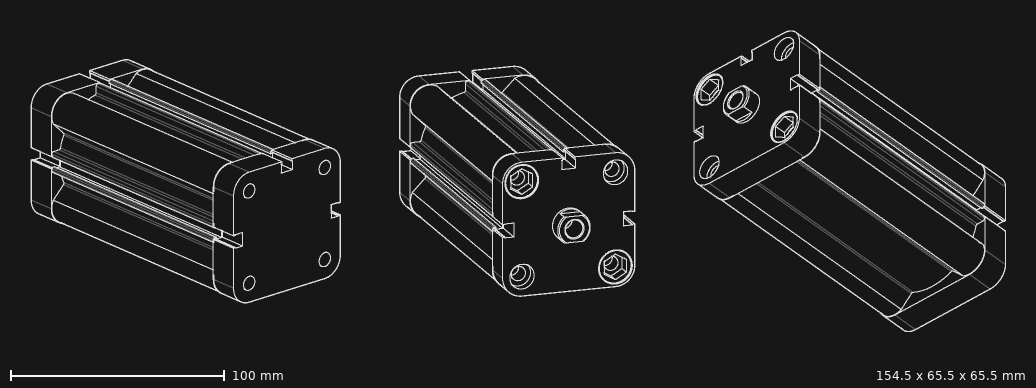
import cadquery as cq
import math


total_length = 154.5
rod_stickout = 8.0
cap_length = 14.7
tube_start = rod_stickout + cap_length
tube_length = total_length - rod_stickout - 2 * cap_length
rear_cap_start = tube_start + tube_length

cap_side = 65.5
cap_half = cap_side / 2
corner_radius = 9.6
bolt_offset = cap_half - corner_radius
bolt_hole_diameter = 7.0
counterbore_diameter = 12.0
counterbore_depth = 5.1

hex_sides = 6
hex_across_flats = 10.8
hex_depth = 6.5
groove_outer_diameter = 16.5
groove_inner_diameter = 15.9
groove_depth = 0.8
head_recess = 0.3

slot_half_width = 3.4
cap_lip_half_gap = 3.1
cap_lip_thickness = 1.2
cap_slot_depth = 5.5

tube_half = 32.5
barrel_radius = 27.8
lobe_radius = tube_half - bolt_offset
lobe_side_shift = 12.4
lobe_half_width = lobe_side_shift / math.sqrt(2)
rail_half_width = 5.3
inner_fillet = 1.0
rail_round = 1.1
tube_slot_floor = 27.7
tube_lip_half_gap = 2.5
tube_lip_thickness = 1.5
lip_round = 0.6

rod_diameter = 16.0
rod_chamfer = 0.6
rod_flat_gap = 12.7
rod_flat_length = 6.0
rod_flat_end_slope = 0.3
rod_bore_diameter = 8.7
rod_bore_chamfer = 0.5
rod_bore_depth = 15.5
drill_point_half_angle = 59.0

all_bolts = [(y, z) for y in (-bolt_offset, bolt_offset) for z in (-bolt_offset, bolt_offset)]
counterbored_bolts = [(y, z) for y, z in all_bolts if y * z < 0]
socket_bolts = [(y, z) for y, z in all_bolts if y * z > 0]

quarter_turns = (0, 90, 180, 270)
slot_angles = (0, 90, 270)


def cross_section(x):
    """Workplane normal to the axis at station x; local axes are Y and Z."""
    return cq.Workplane("YZ", origin=(x, 0, 0))


def box_on_top(x, length, half_width, bottom, top):
    """Bar along the axis, centred on Y = 0, between two heights."""
    height = top - bottom
    bar = cross_section(x).center(0, bottom + height / 2).rect(2 * half_width, height)
    return bar.extrude(length)


def about_axis(shape, angle):
    return shape.rotate((0, 0, 0), (1, 0, 0), angle)


def bolt_holes(x, length):
    return cross_section(x).pushPoints(all_bolts).circle(bolt_hole_diameter / 2).extrude(length)


def cap_blank(x):
    """Rounded square plate with the bolt holes and the three undercut slots."""
    cap = cross_section(x).rect(cap_side, cap_side).extrude(cap_length)
    cap = cap.edges("|X").fillet(corner_radius)
    floor = cap_half - cap_slot_depth
    undercut_top = cap_half - cap_lip_thickness
    slot = box_on_top(x, cap_length, slot_half_width, floor, undercut_top)
    slot = slot.union(box_on_top(x, cap_length, cap_lip_half_gap, floor, cap_half))
    for angle in slot_angles:
        cap = cap.cut(about_axis(slot, angle))
    return cap.cut(bolt_holes(x, cap_length))


def make_front_cap():
    face = cross_section(rod_stickout)
    cap = cap_blank(rod_stickout)
    cap = cap.cut(face.circle(rod_diameter / 2).extrude(cap_length))
    cap = cap.cut(
        face.pushPoints(counterbored_bolts).circle(counterbore_diameter / 2).extrude(counterbore_depth)
    )
    hex_corner_diameter = hex_across_flats / math.cos(math.pi / hex_sides)
    for y, z in socket_bolts:
        socket = face.polygon(hex_sides, hex_corner_diameter).extrude(hex_depth)
        socket = about_axis(socket, 90).translate((0, y, z))
        cap = cap.cut(socket)
    grooves = face.pushPoints(socket_bolts).circle(groove_outer_diameter / 2)
    grooves = grooves.circle(groove_inner_diameter / 2).extrude(groove_depth)
    head_recesses = face.pushPoints(socket_bolts).circle(groove_outer_diameter / 2).extrude(head_recess)
    return cap.cut(grooves).cut(head_recesses)


def make_rear_cap():
    return cap_blank(rear_cap_start)


def corner_lobe():
    """Diagonal web from the axis to a round nose around the bolt hole, toward +Y +Z."""
    nose_center = bolt_offset * math.sqrt(2)
    nose_start = nose_center + math.sqrt(lobe_radius**2 - lobe_half_width**2)
    lobe = (
        cross_section(tube_start)
        .moveTo(0, -lobe_half_width)
        .lineTo(nose_start, -lobe_half_width)
        .threePointArc((nose_center + lobe_radius, 0), (nose_start, lobe_half_width))
        .lineTo(0, lobe_half_width)
        .close()
        .extrude(tube_length)
    )
    return about_axis(lobe, 45)


def slot_rail():
    """Solid bar on the +Z side that the sensor slot is cut into."""
    rail = box_on_top(tube_start, tube_length, rail_half_width, 0, tube_half)
    return rail.edges("|X and >Z").fillet(rail_round)


def tube_slot():
    """T-shaped slot with rounded lip corners, open toward +Z."""
    undercut_top = tube_half - tube_lip_thickness
    round_start = tube_half - lip_round
    rounded_half_gap = tube_lip_half_gap + lip_round
    undercut = box_on_top(tube_start, tube_length, slot_half_width, tube_slot_floor, undercut_top)
    opening = (
        cross_section(tube_start)
        .moveTo(-tube_lip_half_gap, tube_slot_floor)
        .lineTo(-tube_lip_half_gap, round_start)
        .radiusArc((-rounded_half_gap, tube_half), -lip_round)
        .lineTo(rounded_half_gap, tube_half)
        .radiusArc((tube_lip_half_gap, round_start), -lip_round)
        .lineTo(tube_lip_half_gap, tube_slot_floor)
        .close()
        .extrude(tube_length)
    )
    return undercut.union(opening)


def make_tube():
    tube = cross_section(tube_start).circle(barrel_radius).extrude(tube_length)
    for angle in quarter_turns:
        tube = tube.union(about_axis(corner_lobe(), angle))
    for angle in slot_angles:
        tube = tube.union(about_axis(slot_rail(), angle))

    barrel_tolerance = 0.02
    inside_corners = tube.edges("|X").filter(
        lambda edge: abs(math.hypot(edge.Center().y, edge.Center().z) - barrel_radius) < barrel_tolerance
    )
    tube = inside_corners.fillet(inner_fillet)

    for angle in slot_angles:
        tube = tube.cut(about_axis(tube_slot(), angle))
    return tube.cut(bolt_holes(tube_start, tube_length))


def make_rod():
    """Rod through the front cap, with two wrench flats and a blind bore with a drill point."""
    rod_radius = rod_diameter / 2
    bore_radius = rod_bore_diameter / 2
    point_length = bore_radius / math.tan(math.radians(drill_point_half_angle))
    rod = cross_section(0).circle(rod_radius).extrude(tube_start)
    rod = rod.faces("<X").edges().chamfer(rod_chamfer)

    bore_half_section = [
        (0, 0),
        (0, bore_radius + rod_bore_chamfer),
        (rod_bore_chamfer, bore_radius),
        (rod_bore_depth, bore_radius),
        (rod_bore_depth + point_length, 0),
    ]
    bore = cq.Workplane("XY").polyline(bore_half_section).close()
    rod = rod.cut(bore.revolve(360, (0, 0, 0), (1, 0, 0)))

    flat_relief = (
        cq.Workplane("XZ")
        .moveTo(0, rod_flat_gap / 2)
        .lineTo(rod_flat_length, rod_flat_gap / 2)
        .lineTo(rod_flat_length + rod_flat_end_slope, rod_radius)
        .lineTo(0, rod_radius)
        .close()
        .extrude(rod_radius, both=True)
    )
    for angle in (0, 180):
        rod = rod.cut(about_axis(flat_relief, angle))
    return rod


front_cap = make_front_cap()
rear_cap = make_rear_cap()
tube = make_tube()
rod = make_rod()

result = cq.Compound.makeCompound([front_cap.val(), rear_cap.val(), tube.val(), rod.val()])